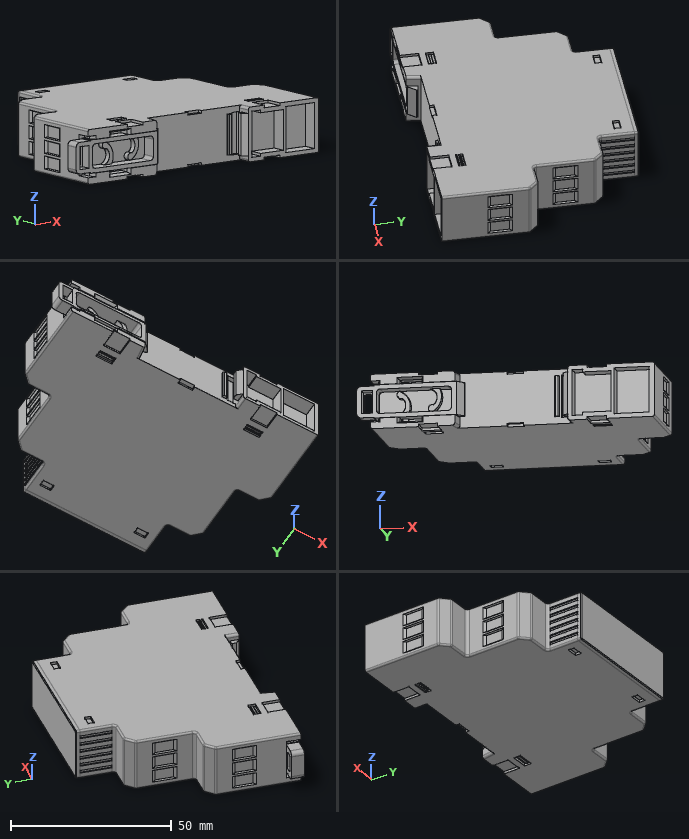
import cadquery as cq
import math

overall_length = 94.9
case_length = 90.4
case_height = 66.5
case_thickness = 17.5
half_length = case_length / 2
half_thickness = case_thickness / 2

middle_half_length = 34.1
top_half_length = 22.5
lower_step_y = 31.0
upper_step_y = 53.6
corner_chamfer = 3.0
step_fillet = 0.95
corner_fillet = 0.95
side_fillet = 0.62
lid_height = 1.4
lid_draft = 0.1
lid_y = case_height - lid_height
top_chamfer = 0.3

rail_y = 4.6
rail_half_width = 17.6
left_foot_slant = 0.8
foot_end_fillet = 0.9

edge_tolerance = 0.1


def block(x_range, y_range, z_range):
    """Axis-aligned box spanning three (low, high) ranges."""
    sizes = [high - low for low, high in (x_range, y_range, z_range)]
    corner = (x_range[0], y_range[0], z_range[0])
    return cq.Workplane("XY").box(*sizes, centered=False).translate(corner)


def mirrored(solid):
    """The solid together with its mirror image across the middle plane Z = 0."""
    return solid.union(solid.mirror("XY"))


def base_plane(y):
    """Sketch plane at height y with local axes X and -Z; extruding goes deeper, toward +Y."""
    return cq.Workplane(cq.Plane(origin=(0, y, 0), xDir=(1, 0, 0), normal=(0, 1, 0)))


def base_pocket(x_range, half_width, depth, taper=0):
    """Rectangular pocket tool sunk from Y = 0, symmetric about Z = 0."""
    centre_x = sum(x_range) / 2
    length = x_range[1] - x_range[0]
    return base_plane(0).center(centre_x, 0).rect(length, 2 * half_width).extrude(depth, taper=taper)


def case_body():
    right_steps = [
        (half_length, 0),
        (half_length, lower_step_y - corner_chamfer),
        (half_length - corner_chamfer, lower_step_y),
        (middle_half_length, lower_step_y),
        (middle_half_length, upper_step_y - corner_chamfer),
        (middle_half_length - corner_chamfer, upper_step_y),
        (top_half_length, upper_step_y),
        (top_half_length, lid_y),
    ]
    left_steps = [(-x, y) for x, y in reversed(right_steps)]
    rail_recess = [
        (-rail_half_width - left_foot_slant, 0),
        (-rail_half_width, rail_y),
        (rail_half_width, rail_y),
        (rail_half_width, 0),
    ]
    body = (
        cq.Workplane("XY")
        .polyline(right_steps + left_steps + rail_recess)
        .close()
        .extrude(case_thickness)
        .translate((0, 0, -half_thickness))
    )

    inner_corners = ((middle_half_length, lower_step_y), (top_half_length, upper_step_y))
    for x, y in right_steps[1:-1]:
        radius = step_fillet if (x, y) in inner_corners else corner_fillet
        for corner_x in (-x, x):
            corner_edge = cq.selectors.NearestToPointSelector((corner_x, y, 0))
            body = body.edges(corner_edge).fillet(radius)

    def is_side_edge(edge):
        centre = edge.Center()
        return rail_y < centre.y < lid_y - edge_tolerance and abs(centre.x) > rail_half_width

    def is_foot_end_edge(edge):
        centre = edge.Center()
        within_recess = edge_tolerance < centre.y < rail_y - edge_tolerance
        return within_recess and abs(centre.x) < rail_half_width + left_foot_slant

    body_edges = body.faces("|Z").edges().vals()
    body = body.newObject([e for e in body_edges if is_side_edge(e)]).fillet(side_fillet)
    body_edges = body.faces("|Z").edges().vals()
    body = body.newObject([e for e in body_edges if is_foot_end_edge(e)]).fillet(foot_end_fillet)
    lid_angle = math.degrees(math.atan(lid_draft / lid_height))
    body = body.faces(">Y").wires().toPending().workplane().extrude(lid_height, taper=lid_angle)
    return body.faces(">Y").edges().chamfer(top_chamfer)


groove_count = 6
groove_pitch = 2.515
groove_width = 0.95
groove_depth = 0.5
groove_y = (upper_step_y + step_fillet, lid_y)

window_rows_y = (18.5, 41.1)
window_count = 3
window_pitch = 4.98
window_length = 7.9
window_width = 4.2
window_depth = 0.6
window_end_taper = 0.95
window_side_taper = 0.3


def spread(count, pitch):
    """Evenly spaced positions centred on zero."""
    return [(index - (count - 1) / 2) * pitch for index in range(count)]


def side_grooves():
    """Grip grooves on the left wall of the top stage."""
    x_range = (-top_half_length, -top_half_length + groove_depth)
    grooves = cq.Workplane("XY")
    for z in spread(groove_count, groove_pitch):
        grooves = grooves.add(block(x_range, groove_y, (z - groove_width / 2, z + groove_width / 2)))
    return grooves.combine()


def terminal_window(wall_x, y, z):
    """Tapered wire-entry window sunk into a left wall."""
    wall = cq.Plane(origin=(wall_x, y, z), xDir=(0, 1, 0), normal=(1, 0, 0))
    return (
        cq.Workplane(wall)
        .rect(window_length, window_width)
        .workplane(offset=window_depth)
        .rect(window_length - 2 * window_end_taper, window_width - 2 * window_side_taper)
        .loft()
    )


def side_details():
    left = side_grooves()
    for wall_x, y in zip((-half_length, -middle_half_length), window_rows_y):
        for z in spread(window_count, window_pitch):
            left = left.union(terminal_window(wall_x, y, z))
    return left.union(left.mirror("YZ"))


face_recess_depth = 0.9
foot_recess_x = (23.8, 29.9)
foot_recess_y = (0, 6.0)
middle_recess_half_length = 2.61
catch_slot_x = (15.3, 19.2)
catch_slot_y = (59.3, 61.4)
vent_x = (24.0, 29.7)
vent_bar_margin = 0.3
left_vent_y = (8.2, 10.6)
left_vent_bar_y = (9.0, 9.8)
right_vent_y = (9.1, 10.3)
right_vent_bar_y = (9.3, 9.8)
right_slit_y = (8.2, 8.5)
bar_drop = 0.4


def flipped(x_range):
    """The range mirrored to the other side of X = 0."""
    return (-x_range[1], -x_range[0])


def vent(x_range, vent_y, bar_y):
    """Vent recess tool that leaves a low bar standing on its floor."""
    floor_z = half_thickness - face_recess_depth
    bar_x = (x_range[0] + vent_bar_margin, x_range[1] - vent_bar_margin)
    recess = block(x_range, vent_y, (floor_z, half_thickness))
    return recess.cut(block(bar_x, bar_y, (floor_z, half_thickness - bar_drop)))


def face_details():
    depth_z = (half_thickness - face_recess_depth, half_thickness)
    middle_x = (-middle_recess_half_length, middle_recess_half_length)
    tools = block(middle_x, (rail_y, foot_recess_y[1]), depth_z)
    for x_range, y_range in ((foot_recess_x, foot_recess_y), (catch_slot_x, catch_slot_y)):
        tools = tools.union(block(x_range, y_range, depth_z))
        tools = tools.union(block(flipped(x_range), y_range, depth_z))
    tools = tools.union(vent(vent_x, right_vent_y, right_vent_bar_y))
    tools = tools.union(block(vent_x, right_slit_y, depth_z))
    tools = tools.union(vent(flipped(vent_x), left_vent_y, left_vent_bar_y))
    return mirrored(tools)


foot_pocket_depth = 4.7
foot_pocket_half_width = 7.3
inner_pocket_x = (19.0, 31.3)
inner_pocket_step_x = 22.4
inner_pocket_narrow_half_width = 6.5
outer_pocket_x = (32.4, 43.6)

hook_half_width = 6.7
hook_reach = 1.7
hook_top_y = 3.1
hook_side_y = 1.5
hook_corner = 0.3
hook_slot_x = (14.7, rail_half_width)
hook_slot_depth = 1.4
rib_x = (12.6, 14.1)
rib_half_width = 6.5
rib_height = 0.9
rib_chamfer = 0.4


def right_foot_pockets():
    wide_x = (inner_pocket_x[0], inner_pocket_step_x)
    return (
        base_pocket(outer_pocket_x, foot_pocket_half_width, foot_pocket_depth)
        .union(base_pocket(wide_x, foot_pocket_half_width, foot_pocket_depth))
        .union(base_pocket(inner_pocket_x, inner_pocket_narrow_half_width, foot_pocket_depth))
    )


def prism(points, half_width):
    """Outline in X and Y extruded symmetrically about Z = 0."""
    return cq.Workplane("XY").polyline(points).close().extrude(half_width, both=True)


def rail_slot():
    return block(hook_slot_x, (rail_y, rail_y + hook_slot_depth), (-hook_half_width, hook_half_width))


def fixed_hook():
    tip_x = rail_half_width - hook_reach
    root_x = rail_half_width + hook_corner
    outline = [
        (root_x, 0),
        (rail_half_width, 0),
        (tip_x, hook_side_y),
        (tip_x, hook_top_y - hook_corner),
        (tip_x + hook_corner, hook_top_y),
        (root_x, hook_top_y),
    ]
    return prism(outline, hook_half_width)


def rail_rib():
    rib = block(rib_x, (rail_y - rib_height, rail_y), (-rib_half_width, rib_half_width))
    return rib.faces("<Y").edges("|Z").chamfer(rib_chamfer)


latch_y = (0.3, rail_y)
latch_half_width = 5.3
latch_left_x = -44.1
latch_right_x = -17.8
handle_left_x = half_length - overall_length
handle_half_width = 5.0
handle_fillet = 1.4
handle_window_x = (-48.1, -44.6)
handle_window_half_width = 3.6
handle_window_depth = 3.6
handle_hole_x = (-47.8, -45.5)
handle_hole_half_width = 3.0
handle_hole_fillet = 0.5

nose_tip_x = -15.8
nose_tip_y = (2.75, 3.1)
nose_shoulder = (-16.1, 3.4)
nose_root_y = 3.6

latch_pocket_x = (-43.3, -19.5)
latch_pocket_half_width = 3.9
latch_pocket_fillet = 1.1
latch_pocket_depth = 4.9
spring_height = 1.9
spring_spacing = 10.0
spring_outer_root = (-33.7, latch_pocket_half_width)
spring_outer_middle = (-33.2, 0.3)
spring_crown = (-36.4, -3.6)
spring_tip_middle = (-37.3, -2.2)
spring_tip_end = (-35.7, -1.2)
spring_inner_middle = (-34.5, 0.9)
spring_inner_root = (-36.6, latch_pocket_half_width)

corner_pocket_reach = 3.1
corner_pocket_half_width = 6.55
corner_pocket_depth = 4.7
corner_pocket_slope_run = 0.95
corner_pocket_slope_depth = 2.3
snap_pocket_x = (-36.7, -28.4)
snap_pocket_half_width = 7.3
snap_pocket_depth = 4.3
snap_pocket_lead_depth = 1.3
snap_pocket_lead = 0.7
snap_post_x = (-35.6, -33.7)
snap_post_half_width = 6.3
snap_post_height = 0.95


def corner_pocket():
    """Pocket open at the case end, its inner wall sloping near the base and then running straight."""
    mouth_x = -half_length + corner_pocket_reach
    inner_x = mouth_x - corner_pocket_slope_run
    outline = [
        (-half_length, 0),
        (mouth_x, 0),
        (inner_x, corner_pocket_slope_depth),
        (inner_x, corner_pocket_depth),
        (-half_length, corner_pocket_depth),
    ]
    return prism(outline, corner_pocket_half_width)


def snap_pocket():
    """Pocket whose walls slope inward near the base and then run straight, around a post on its floor."""
    lead_angle = math.degrees(math.atan(snap_pocket_lead / snap_pocket_lead_depth))
    straight_x = (snap_pocket_x[0] + snap_pocket_lead, snap_pocket_x[1] - snap_pocket_lead)
    straight_half_width = snap_pocket_half_width - snap_pocket_lead
    lead = base_pocket(snap_pocket_x, snap_pocket_half_width, snap_pocket_lead_depth, lead_angle)
    straight = base_pocket(straight_x, straight_half_width, snap_pocket_depth)
    post_y = (snap_pocket_depth - snap_post_height, snap_pocket_depth)
    post = block(snap_post_x, post_y, (-snap_post_half_width, snap_post_half_width))
    return lead.union(straight).cut(post)


def latch_seat():
    """Shallow clearance that lets the latch lie slightly below the foot."""
    x_range = (latch_left_x, -rail_half_width)
    return block(x_range, (0, latch_y[0]), (-latch_half_width, latch_half_width))


def latch():
    plate = block((latch_left_x, latch_right_x), latch_y, (-latch_half_width, latch_half_width))
    handle = block((handle_left_x, latch_left_x), latch_y, (-handle_half_width, handle_half_width))
    handle = handle.edges("|Y and <X").fillet(handle_fillet)
    nose_outline = [
        (latch_right_x, latch_y[0]),
        (nose_tip_x, nose_tip_y[0]),
        (nose_tip_x, nose_tip_y[1]),
        nose_shoulder,
        (latch_right_x, nose_root_y),
    ]
    return plate.union(handle).union(prism(nose_outline, latch_half_width))


def latch_openings():
    """Handle window with its smaller through hole, and the long spring pocket."""
    window = base_pocket(handle_window_x, handle_window_half_width, handle_window_depth)
    hole = base_pocket(handle_hole_x, handle_hole_half_width, rail_y)
    hole = hole.edges("|Y").fillet(handle_hole_fillet)
    pocket = base_pocket(latch_pocket_x, latch_pocket_half_width, latch_pocket_depth)
    pocket = pocket.edges("|Y").fillet(latch_pocket_fillet)
    return window.union(hole).union(pocket)


def springs():
    """Two curved hook-ended springs standing on the latch pocket floor, one flipped in Z."""
    hook = (
        base_plane(latch_pocket_depth - spring_height)
        .moveTo(*spring_crown)
        .threePointArc(spring_outer_middle, spring_outer_root)
        .lineTo(*spring_inner_root)
        .threePointArc(spring_inner_middle, spring_tip_end)
        .threePointArc(spring_tip_middle, spring_crown)
        .close()
        .extrude(spring_height)
    )
    return hook.union(hook.mirror("XY").translate((spring_spacing, 0, 0)))


result = (
    case_body()
    .cut(side_details())
    .cut(face_details())
    .cut(right_foot_pockets())
    .cut(rail_slot())
    .union(fixed_hook())
    .union(rail_rib())
    .cut(corner_pocket())
    .cut(snap_pocket())
    .cut(latch_seat())
    .union(latch())
    .cut(latch_openings())
    .union(springs())
)